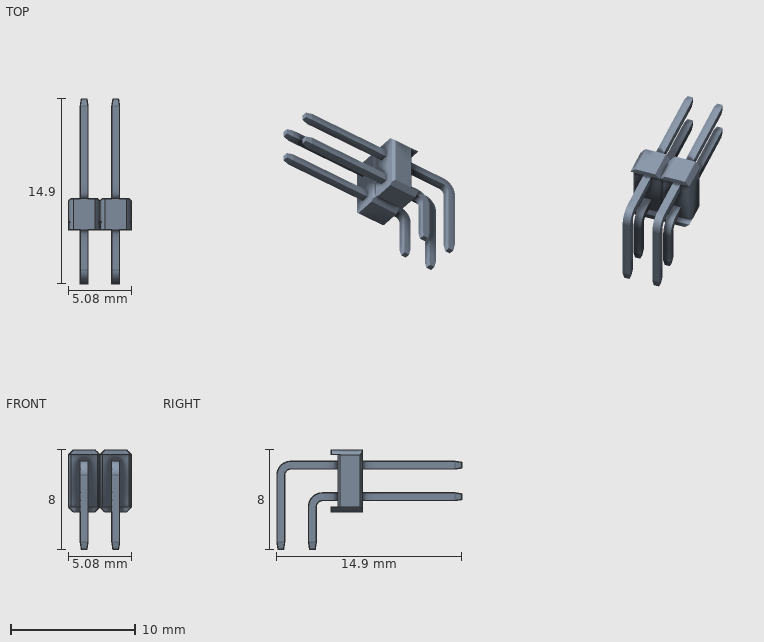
import cadquery as cq


pitch = 2.54
columns = 2
rows = 2

housing_depth = 2.52
housing_height = 5.0
edge_chamfer = 0.4
corner_chamfer = 0.2
recess_depth = 0.54
lip_height = 0.39

pin_width = 0.64
bend_inner_radius = 0.49
tip_length = 0.58
tip_width = 0.46
overall_length = 14.9
overall_height = 8.0
front_reach = 4.37

pin_half = pin_width / 2
bend_radius = bend_inner_radius + pin_half
rear_end = overall_length - front_reach
upper_face = housing_height / 2
lower_end = upper_face - overall_height

column_places = [(column - (columns - 1) / 2) * pitch for column in range(columns)]


def row_height(row):
    """Z of the pin axis, counting rows from the bottom."""
    return (row - (rows - 1) / 2) * pitch


def leg_place(row):
    """Y of the downward leg's axis; higher rows reach farther forward."""
    return pin_half - front_reach + (rows - 1 - row) * pitch


def cell_block(front, height):
    """Block one pitch wide, from Y = front to the housing's rear face, centred on X and Z."""
    return cq.Workplane("XY", origin=(0, front, 0)).box(
        pitch, housing_depth - front, height, centered=(True, False, True)
    )


def make_cell(x):
    """One housing column: chamfered block with a front recess between two lips."""
    core_height = housing_height - 2 * lip_height

    long_edges_cut = cell_block(0, housing_height).edges("|Y").chamfer(edge_chamfer)
    rear_corners_cut = cell_block(0, housing_height).edges("|Z and >Y").chamfer(corner_chamfer)
    body = long_edges_cut.intersect(rear_corners_cut)

    core = cell_block(recess_depth, core_height).edges("|Z and <Y").chamfer(corner_chamfer)
    recess = cell_block(0, core_height).cut(core)
    return body.cut(recess).translate((x, 0, 0))


def make_tip(plane):
    """Tapered pin end, growing from the plane along its normal."""
    return (
        cq.Workplane(plane)
        .rect(pin_width, pin_width)
        .workplane(offset=tip_length)
        .rect(tip_width, tip_width)
        .loft(ruled=True)
    )


def make_pin(x, row):
    """Square wire from the rear tip, forward through the housing, then bent down."""
    z = row_height(row)
    y = leg_place(row)
    bar_end = rear_end - tip_length
    leg_end = lower_end + tip_length
    bend_start = y + bend_radius

    path = (
        cq.Workplane("YZ", origin=(x, 0, 0))
        .moveTo(bar_end, z)
        .lineTo(bend_start, z)
        .radiusArc((y, z - bend_radius), -bend_radius)
        .lineTo(y, leg_end)
    )
    wire = cq.Workplane("XZ", origin=(x, bar_end, 0)).center(0, z).rect(pin_width, pin_width).sweep(path)
    rear_tip = make_tip(cq.Plane(origin=(x, bar_end, z), xDir=(1, 0, 0), normal=(0, 1, 0)))
    lower_tip = make_tip(cq.Plane(origin=(x, y, leg_end), xDir=(1, 0, 0), normal=(0, 0, -1)))
    return wire.union(rear_tip).union(lower_tip)


pins = [make_pin(x, row) for x in column_places for row in range(rows)]

housing = make_cell(column_places[0])
for x in column_places[1:]:
    housing = housing.union(make_cell(x))
for pin in pins:
    housing = housing.cut(pin)

result = cq.Compound.makeCompound([housing.solids().val(), *[pin.solids().val() for pin in pins]])